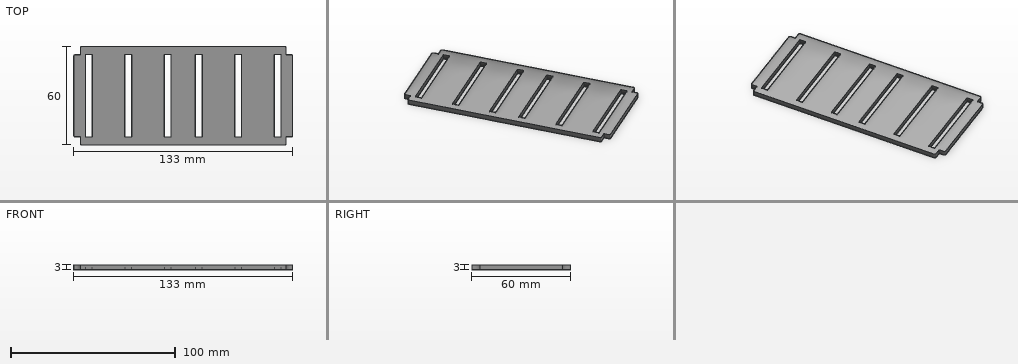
import cadquery as cq

plate_length = 133.0
body_length = 125.0
body_width = 60.0
tab_width = 50.0
thickness = 3.0
corner_radius = 1.0

slot_width = 4.0
slot_length = tab_width
slots_per_side = 3
slot_pitch = 24.0
inner_slot_offset = 9.5


def rounded_plate(length, width):
    """Flat rectangle with its four vertical corner edges rounded."""
    return cq.Workplane("XY").box(length, width, thickness).edges("|Z").fillet(corner_radius)


def slot_centers():
    """Slot positions, mirrored about the middle of the plate."""
    offsets = [inner_slot_offset + i * slot_pitch for i in range(slots_per_side)]
    return [(side * offset, 0) for offset in offsets for side in (-1, 1)]


plate = rounded_plate(body_length, body_width).union(rounded_plate(plate_length, tab_width))

slots = (
    cq.Workplane("XY")
    .pushPoints(slot_centers())
    .box(slot_width, slot_length, thickness)
)

result = plate.cut(slots)